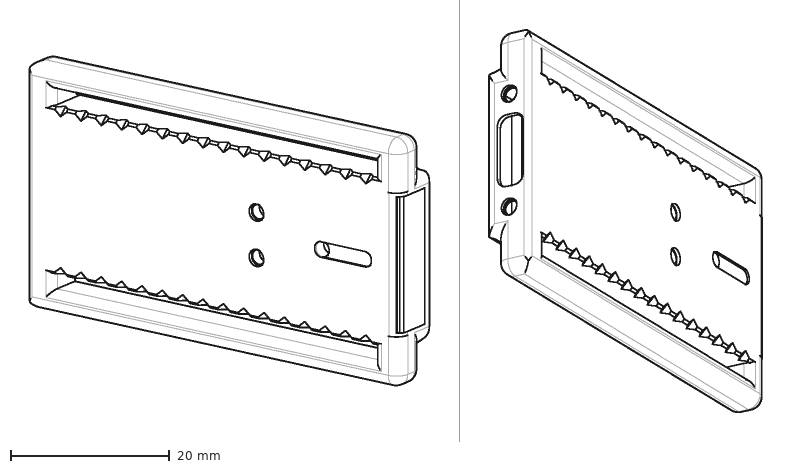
import cadquery as cq

LENGTH = 57.8
THICKNESS = 6.48
WIDTH = 32.8
END_X = LENGTH / 2
SIDE_Z = WIDTH / 2

WING_THICKNESS = 4.9
OUTER_RADIUS = 1.75
LEFT_FRONT_RADIUS = 0.73
RIGHT_FRONT_RADIUS = 1.68

CORE_HALF_Z = 9.5
RAISED_TOP_Z = 10.2
COVE_FOOT_Z = 12.2
RAISED_BASE_Y = WING_THICKNESS - OUTER_RADIUS
RAISED_CORNER_RADIUS = COVE_FOOT_Z - CORE_HALF_Z
RAISED_LEFT_RADIUS = 1.35

SLOT_HALF_X = 25.0
SLOT_INNER_Z = 11.06
SLOT_OUTER_Z = 13.28
SLOT_ROUNDING = 1.05
SLOT_CHAMFER = 0.32

NOTCH_COUNT = 16
NOTCH_PITCH = 3.16
NOTCH_DEPTH = 1.06
NOTCH_HALF_WIDTH = 1.3

END_WALL = 0.75
FRONT_WALL = 1.98
CAVITY_BACK_Y = 5.5
CAVITY_HALF_Z = 9.0

CAP_THICKNESS = 0.73
CAP_FRONT_Y = 0.6
CAP_CHAMFER = 0.38

PORT_Y = 2.75
PORT_HEIGHT = 9.7
PORT_WIDTH = 3.8
PORT_RADIUS = 1.35
PORT_DEPTH = 1.5
SIDE_HOLE_Y = 2.93
SIDE_HOLE_Z = 7.65
HOLE_RADIUS = 0.96
RIM_STEP = 0.16
RIM_DEPTH = 0.5

FRONT_HOLE_X = 6.7
FRONT_HOLE_Z = 3.0
GROOVE_START_X = 16.75
GROOVE_END_X = 23.55
GROOVE_RADIUS = 1.02
GROOVE_DEPTH = 0.3

BLOCK_START_X = -24.0


def box(x0, x1, y0, y1, z0, z1):
    """Axis-aligned box between two opposite corners."""
    return cq.Workplane("XY").box(x1 - x0, y1 - y0, z1 - z0, centered=False).translate((x0, y0, z0))


def side_profile(thickness, left_front, right_front, right_back, left_back):
    """Prism along Z whose XY outline has its own radius at each corner (0 keeps it sharp)."""
    prism = box(-END_X, END_X, 0, thickness, -SIDE_Z, SIDE_Z)
    corners = (
        ("<X and <Y", left_front),
        (">X and <Y", right_front),
        (">X and >Y", right_back),
        ("<X and >Y", left_back),
    )
    for corner, radius in corners:
        if radius > 0:
            prism = prism.edges("|Z").edges(corner).fillet(radius)
    return prism


def make_wings():
    """Plate rounded on every edge, with a fuller front edge at the -X end."""
    blank = box(-END_X, END_X, 0, WING_THICKNESS, -SIDE_Z, SIDE_Z)
    rounded = blank.edges().fillet(OUTER_RADIUS)

    left_end = box(-END_X, -END_X + OUTER_RADIUS, 0, WING_THICKNESS / 2, -SIDE_Z, SIDE_Z)
    lengthwise = blank.edges("|X").fillet(OUTER_RADIUS)
    plan = blank.edges("|Y").fillet(OUTER_RADIUS)
    side = side_profile(WING_THICKNESS, LEFT_FRONT_RADIUS, 0, 0, 0)
    left_end = left_end.intersect(lengthwise).intersect(plan).intersect(side)
    return rounded.union(left_end)


def make_core():
    """Square-ended middle of the housing, through its full thickness."""
    side = side_profile(THICKNESS, LEFT_FRONT_RADIUS, RIGHT_FRONT_RADIUS, 0, RAISED_LEFT_RADIUS)
    return side.intersect(box(-END_X, END_X, 0, THICKNESS, -CORE_HALF_Z, CORE_HALF_Z))


def make_raised_back():
    """Raised back whose sides are S-curves of two equal arcs, rounded at its corners in plan."""
    middle = ((THICKNESS + WING_THICKNESS) / 2, (RAISED_TOP_Z + COVE_FOOT_Z) / 2)
    half = (
        cq.Workplane("YZ")
        .moveTo(RAISED_BASE_Y, 0)
        .lineTo(THICKNESS, 0)
        .lineTo(THICKNESS, RAISED_TOP_Z)
        .tangentArcPoint(middle, relative=False)
        .tangentArcPoint((WING_THICKNESS, COVE_FOOT_Z), relative=False)
        .lineTo(RAISED_BASE_Y, COVE_FOOT_Z)
        .close()
        .extrude(END_X, both=True)
    )
    ridge = half.union(half.mirror("XY"))
    plan = box(-END_X, END_X, 0, THICKNESS, -COVE_FOOT_Z, COVE_FOOT_Z)
    plan = plan.edges("|Y").fillet(RAISED_CORNER_RADIUS)
    side = side_profile(THICKNESS, 0, 0, 0, RAISED_LEFT_RADIUS)
    return ridge.intersect(plan).intersect(side)


def strap_slot_cutter():
    """Upper strap slot with its three rounded edges, its chamfered edge and its grip notches."""
    slot = box(-SLOT_HALF_X, SLOT_HALF_X, 0, THICKNESS, SLOT_INNER_Z, SLOT_OUTER_Z)

    flare_x = SLOT_HALF_X + SLOT_ROUNDING
    flare_z = SLOT_OUTER_Z + SLOT_ROUNDING
    floor_z = SLOT_INNER_Z - SLOT_CHAMFER
    mouth = box(-flare_x, flare_x, 0, SLOT_ROUNDING, floor_z, flare_z)
    for sign in (-1, 1):
        end_rounding = cq.Workplane("XY").circle(SLOT_ROUNDING).extrude(flare_z)
        mouth = mouth.cut(end_rounding.translate((sign * flare_x, SLOT_ROUNDING, 0)))
    outer_rounding = cq.Workplane("YZ").circle(SLOT_ROUNDING).extrude(flare_x, both=True)
    mouth = mouth.cut(outer_rounding.translate((0, SLOT_ROUNDING, flare_z)))
    chamfer_keep = (
        cq.Workplane("YZ")
        .moveTo(0, floor_z)
        .lineTo(SLOT_CHAMFER, SLOT_INNER_Z)
        .lineTo(SLOT_ROUNDING, SLOT_INNER_Z)
        .lineTo(SLOT_ROUNDING, floor_z)
        .close()
        .extrude(flare_x, both=True)
    )
    cutter = slot.union(mouth.cut(chamfer_keep))

    for index in range(NOTCH_COUNT):
        center_x = (index - (NOTCH_COUNT - 1) / 2) * NOTCH_PITCH
        cutter = cutter.union(notch_cutter(center_x))
    return cutter


def notch_cutter(center_x):
    """Triangular pyramid that cuts one V notch into the inner slot edge."""
    mouth = cq.Wire.makePolygon(
        [
            cq.Vector(center_x, 0, SLOT_INNER_Z - NOTCH_DEPTH),
            cq.Vector(center_x + NOTCH_HALF_WIDTH, 0, SLOT_INNER_Z),
            cq.Vector(center_x - NOTCH_HALF_WIDTH, 0, SLOT_INNER_Z),
        ],
        close=True,
    )
    groove = cq.Solid.extrudeLinear(mouth, [], cq.Vector(0, NOTCH_DEPTH, NOTCH_DEPTH))
    return cq.Workplane(obj=groove)


def front_cylinder(x, z, radius, depth):
    """Cylinder sunk into the front face."""
    return cq.Workplane("XZ").center(x, z).circle(radius).extrude(-depth)


def front_openings():
    """Two stepped holes, plus the indicator groove with a through hole at its start."""
    cutter = front_cylinder(GROOVE_START_X, 0, GROOVE_RADIUS, FRONT_WALL)
    for z in (-FRONT_HOLE_Z, FRONT_HOLE_Z):
        cutter = cutter.union(front_cylinder(FRONT_HOLE_X, z, HOLE_RADIUS, FRONT_WALL))
        cutter = cutter.union(front_cylinder(FRONT_HOLE_X, z, HOLE_RADIUS + RIM_STEP, RIM_DEPTH))
    groove_length = GROOVE_END_X - GROOVE_START_X
    groove = (
        cq.Workplane("XZ")
        .center(GROOVE_START_X + groove_length / 2, 0)
        .slot2D(groove_length + 2 * GROOVE_RADIUS, 2 * GROOVE_RADIUS)
        .extrude(-GROOVE_DEPTH)
    )
    return cutter.union(groove)


def port_cutter():
    """Round-cornered connector opening, running on past the end wall."""
    front_y = PORT_Y - PORT_WIDTH / 2
    back_y = PORT_Y + PORT_WIDTH / 2
    opening = box(-END_X, -END_X + PORT_DEPTH, front_y, back_y, -PORT_HEIGHT / 2, PORT_HEIGHT / 2)
    return opening.edges("|X").fillet(PORT_RADIUS)


def end_cylinder(z, radius, depth):
    """Cylinder sunk into the -X end."""
    return cq.Workplane("YZ", origin=(-END_X, SIDE_HOLE_Y, z)).circle(radius).extrude(depth)


def end_openings():
    """Connector opening and two stepped holes through the -X end wall."""
    cutter = port_cutter()
    for z in (-SIDE_HOLE_Z, SIDE_HOLE_Z):
        cutter = cutter.union(end_cylinder(z, HOLE_RADIUS, END_WALL))
        cutter = cutter.union(end_cylinder(z, HOLE_RADIUS + RIM_STEP, RIM_DEPTH))
    return cutter


def make_housing():
    """Wings, core and raised back in one piece, hollowed out and pierced."""
    housing = make_wings().union(make_core()).union(make_raised_back())
    slot = strap_slot_cutter()
    housing = housing.cut(slot).cut(slot.mirror("XY"))
    cavity_start = -END_X + END_WALL
    cavity = box(cavity_start, END_X, FRONT_WALL, CAVITY_BACK_Y, -CAVITY_HALF_Z, CAVITY_HALF_Z)
    cap_seat = box(END_X - CAP_THICKNESS, END_X, 0, CAVITY_BACK_Y, -CAVITY_HALF_Z, CAVITY_HALF_Z)
    housing = housing.cut(cavity).cut(cap_seat)
    return housing.cut(front_openings()).cut(end_openings())


def make_end_cap():
    """Plate that closes the +X end of the cavity, with a chamfered front edge."""
    cap = box(
        END_X - CAP_THICKNESS, END_X, CAP_FRONT_Y, CAVITY_BACK_Y, -CAVITY_HALF_Z, CAVITY_HALF_Z
    )
    return cap.edges("|Z").edges(">X and <Y").chamfer(CAP_CHAMFER)


def make_electronics_block():
    """Block that fills the cavity from behind the connector space to the end cap."""
    return box(
        BLOCK_START_X, END_X - CAP_THICKNESS, FRONT_WALL, CAVITY_BACK_Y, -CAVITY_HALF_Z, CAVITY_HALF_Z
    )


housing = make_housing()
end_cap = make_end_cap()
electronics_block = make_electronics_block()

result = cq.Compound.makeCompound([housing.val(), end_cap.val(), electronics_block.val()])